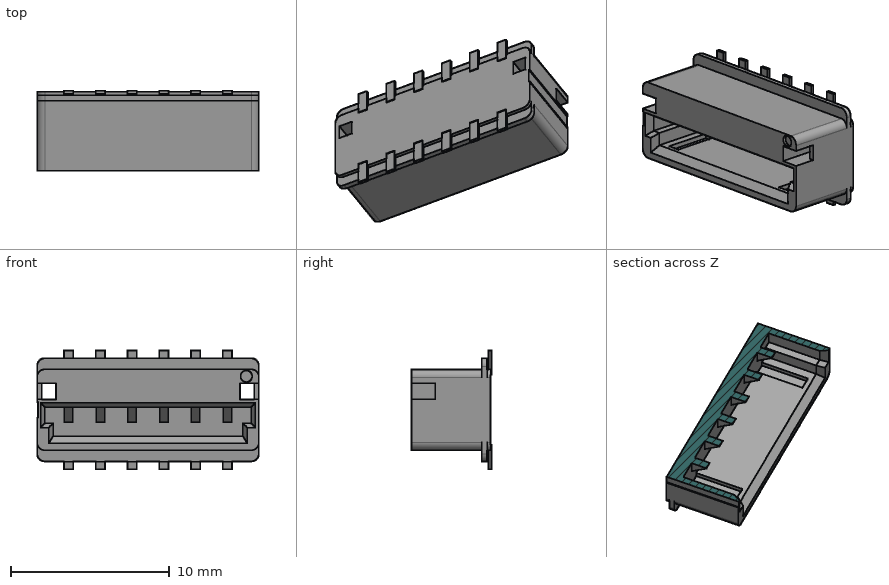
import cadquery as cq


length = 14.0
housing_height = 5.11
housing_depth = 5.0
corner_radius = 0.5

flange_height = 6.52
flange_front = 4.42
flange_thickness = 0.35

groove_depth = 0.05
groove_height = 0.98

window_bottom = 0.66
window_top = 1.67
window_inner_x = 5.81
window_wall_x = 6.69
window_side_depth = 1.5

mouth_half_width = 6.78
mouth_step_half_width = 6.26
mouth_top = 0.45
mouth_step = -1.12
mouth_bottom = -2.11
lead_in_depth = 0.49
lead_in_side = 0.28
lead_in_top = 0.3
lead_in_step = 0.28
lead_in_bottom = 0.45
cavity_depth = 4.0

contact_count = 6
contact_pitch = 2.0
contact_width = 0.53
contact_ramp_length = 1.18
contact_bend_z = -0.71
contact_low_z = -0.78
contact_tip_length = 0.05

pocket_width = 0.84
pocket_front = 0.81
pocket_depth = 0.31

tail_width = 0.6
tail_thickness = 0.2
tail_rear = 5.05
tail_inner_z = 2.2
tail_outer_z = 3.75

dimple_radius = 0.36
dimple_x = 6.2
dimple_z = 2.11
dimple_depth = 0.2

contact_positions = [(i - (contact_count - 1) / 2) * contact_pitch for i in range(contact_count)]
cavity_top = mouth_top - lead_in_top
cavity_floor = mouth_bottom + lead_in_bottom


def block(x_range, y_range, z_range):
    """Box spanning the given X, Y and Z ranges."""
    (x0, x1), (y0, y1), (z0, z1) = x_range, y_range, z_range
    return cq.Workplane("XY").box(x1 - x0, y1 - y0, z1 - z0, centered=False).translate((x0, y0, z0))


def rounded_plate(height, front, thickness):
    """Full-length plate facing -Y with rounded corners."""
    plate = cq.Workplane("XZ", origin=(0, front, 0)).rect(length, height).extrude(-thickness)
    return plate.edges("|Y").fillet(corner_radius)


def stepped_outline(half_width, step_half_width, top, step, bottom):
    """Cavity cross-section, wide above the step and narrow below it."""
    return [
        (-half_width, top),
        (half_width, top),
        (half_width, step),
        (step_half_width, step),
        (step_half_width, bottom),
        (-step_half_width, bottom),
        (-step_half_width, step),
        (-half_width, step),
    ]


def cavity():
    """Mating cavity with a tapered lead-in at the mouth."""
    mouth = stepped_outline(mouth_half_width, mouth_step_half_width, mouth_top, mouth_step, mouth_bottom)
    inner = stepped_outline(
        mouth_half_width - lead_in_side,
        mouth_step_half_width - lead_in_side,
        cavity_top,
        mouth_step + lead_in_step,
        cavity_floor,
    )
    lead_in = (
        cq.Workplane("XZ")
        .polyline(mouth)
        .close()
        .workplane(offset=-lead_in_depth)
        .polyline(inner)
        .close()
        .loft(ruled=True)
    )
    bore = cq.Workplane("XZ").polyline(inner).close().extrude(-cavity_depth)
    return bore.union(lead_in)


def latch_window():
    """Latch window on the +X end: a hole right through in Y, open sideways near the mating face."""
    z_range = (window_bottom, window_top)
    through = block((window_inner_x, window_wall_x), (0, housing_depth), z_range)
    side_opening = block((window_inner_x, length / 2), (0, window_side_depth), z_range)
    return through.union(side_opening)


def groove():
    """Shallow polarising groove along the full depth of the -X side."""
    return block(
        (-length / 2, -length / 2 + groove_depth),
        (0, housing_depth),
        (-groove_height / 2, groove_height / 2),
    )


def dimple():
    """Pin-one dimple in the mating face."""
    return cq.Workplane("XZ").center(dimple_x, dimple_z).circle(dimple_radius).extrude(-dimple_depth)


def contact(x):
    """Contact sloping down from the cavity ceiling to the rear wall, steeper at its tip."""
    tip_start = cavity_depth - contact_tip_length
    ramp_start = tip_start - contact_ramp_length
    return (
        cq.Workplane("YZ", origin=(x - contact_width / 2, 0, 0))
        .moveTo(ramp_start, cavity_top)
        .lineTo(tip_start, contact_bend_z)
        .lineTo(cavity_depth, contact_low_z)
        .lineTo(cavity_depth, cavity_top)
        .close()
        .extrude(contact_width)
    )


def floor_pocket(x):
    """Shallow relief in the cavity floor."""
    return block(
        (x - pocket_width / 2, x + pocket_width / 2),
        (pocket_front, cavity_depth),
        (cavity_floor - pocket_depth, cavity_floor),
    )


def solder_tail(x):
    """Upper solder tail at one contact position."""
    return block(
        (x - tail_width / 2, x + tail_width / 2),
        (tail_rear - tail_thickness, tail_rear),
        (tail_inner_z, tail_outer_z),
    )


body = rounded_plate(housing_height, 0, housing_depth)
body = body.union(rounded_plate(flange_height, flange_front, flange_thickness))
body = body.cut(groove()).cut(cavity()).cut(dimple())

window = latch_window()
body = body.cut(window).cut(window.mirror("YZ"))

for x in (contact_positions[0], contact_positions[-1]):
    body = body.cut(floor_pocket(x))

for x in contact_positions:
    body = body.union(contact(x))
    upper_tail = solder_tail(x)
    body = body.union(upper_tail).union(upper_tail.mirror("XY"))

result = body